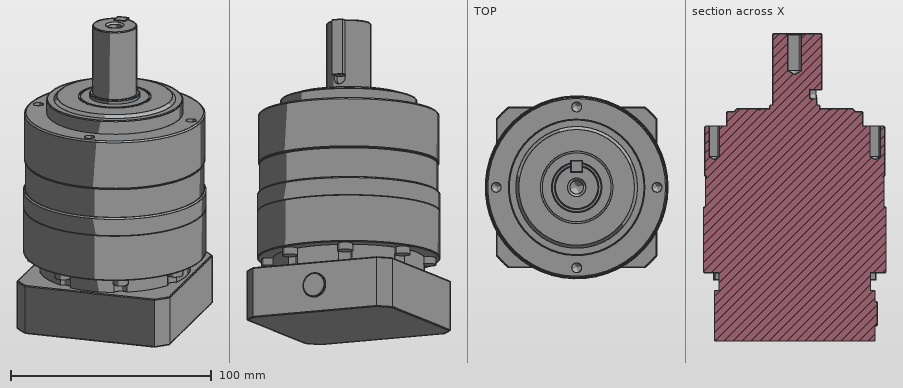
import cadquery as cq
import math

flange_top = 25.2
housing_bottom = 34.0
housing_joint = 57.5
housing_top = 67.0
ring_gear_top = 82.0
output_top = 107.1
pilot_top = 114.1
cover_top = 115.7
collar_top = 117.5
shaft_top = 153

neck_radius = 37.8
housing_radius = 45.52
ring_gear_radius = 44.5
output_radius = 45.0
pilot_radius = 34.0
cover_base_radius = 30.3
cover_rim_radius = 28.8
collar_radius = 12.5
shaft_radius = 11.0

edge_chamfer = 0.5
wide_chamfer = 0.8
joint_chamfer = 0.2

flange_side = 80.0
flange_corner_radius = 52.5
plug_radius = 6.1
plug_height = 1.0
plug_chamfer = 0.5
plug_z = 13.6

screw_count = 8
screw_circle_radius = 39.6
screw_head_radius = 3.8
screw_head_bottom = 30.5

drill_tip_angle = 118

mount_hole_count = 4
mount_hole_circle_radius = flange_side / 2
mount_hole_radius = 2.5
mount_hole_depth = 15.3

seal_outer_radius = 18.0
seal_groove_width = 0.9
seal_groove_depth = 0.5

centre_hole_radius = 3.4
centre_hole_depth = 18.4
countersink_radius = 4.6
countersink_depth = 0.8

key_width = 6.0
key_outer = 13.5
key_length = 28.0
key_end_chamfer = 0.3
keyway_straight_length = 29.4


def disc(radius, bottom, top):
    """Plain cylinder on the Z axis between two heights."""
    return cq.Workplane("XY").workplane(offset=bottom).circle(radius).extrude(top - bottom)


def drilled_hole(radius, top, depth):
    """Cutter for a hole on the Z axis with a conical drill point."""
    tip = radius / math.tan(math.radians(drill_tip_angle / 2))
    return (
        cq.Workplane("XZ")
        .moveTo(0, top)
        .lineTo(radius, top)
        .lineTo(radius, top - depth)
        .lineTo(0, top - depth - tip)
        .close()
        .revolve(360, (0, 0, 0), (0, 1, 0))
    )


def around_axis(shape, radius, angle):
    """Move a shape off the Z axis and turn it to its place on a circle."""
    return shape.translate((radius, 0, 0)).rotate((0, 0, 0), (0, 0, 1), angle)


def make_flange():
    block = cq.Workplane("XY").rect(flange_side, flange_side).extrude(flange_top)
    block = block.intersect(disc(flange_corner_radius, 0, flange_top))
    block = block.faces("<Z or >Z").chamfer(edge_chamfer)
    plug = (
        cq.Workplane("XZ", origin=(0, flange_side / 2, plug_z))
        .circle(plug_radius)
        .extrude(-plug_height)
        .faces(">Y")
        .chamfer(plug_chamfer)
    )
    return block.union(plug)


def make_neck():
    """Neck with a groove below each of the screw heads around it."""
    neck = disc(neck_radius, flange_top, housing_bottom)
    groove = disc(screw_head_radius, flange_top, screw_head_bottom)
    head = disc(screw_head_radius, screw_head_bottom, housing_bottom)
    for index in range(screw_count):
        angle = (index + 0.5) * 360 / screw_count
        neck = neck.cut(around_axis(groove, screw_circle_radius, angle))
        neck = neck.union(around_axis(head, screw_circle_radius, angle))
    return neck


def make_cover():
    """Tapered disc with a shallow groove around the shaft seal."""
    cover = (
        cq.Workplane("XZ")
        .moveTo(0, pilot_top)
        .lineTo(cover_base_radius, pilot_top)
        .lineTo(cover_rim_radius, cover_top)
        .lineTo(0, cover_top)
        .close()
        .revolve(360, (0, 0, 0), (0, 1, 0))
    )
    groove_bottom = cover_top - seal_groove_depth
    seal_inner_radius = seal_outer_radius - seal_groove_width
    groove = disc(seal_outer_radius, groove_bottom, cover_top)
    groove = groove.cut(disc(seal_inner_radius, groove_bottom, cover_top))
    return cover.cut(groove)


def make_housing():
    """Stack of turned sections from the input housing up to the pilot."""
    lower = disc(housing_radius, housing_bottom, housing_joint)
    lower = lower.faces("<Z").chamfer(edge_chamfer).faces(">Z").chamfer(joint_chamfer)
    upper = disc(housing_radius, housing_joint, housing_top)
    upper = upper.faces("<Z").chamfer(joint_chamfer).faces(">Z").chamfer(wide_chamfer)
    ring_gear = disc(ring_gear_radius, housing_top, ring_gear_top)
    ring_gear = ring_gear.faces(">Z").chamfer(edge_chamfer)
    output = disc(output_radius, ring_gear_top, output_top)
    output = output.faces("<Z").chamfer(edge_chamfer).faces(">Z").chamfer(wide_chamfer)
    for index in range(mount_hole_count):
        angle = index * 360 / mount_hole_count
        hole = drilled_hole(mount_hole_radius, output_top, mount_hole_depth)
        output = output.cut(around_axis(hole, mount_hole_circle_radius, angle))
    pilot = disc(pilot_radius, output_top, pilot_top).faces(">Z").chamfer(edge_chamfer)
    return lower.union(upper).union(ring_gear).union(output).union(pilot)


def make_keyway():
    """Cutter for the keyway, open at the shaft end and round at its lower end."""
    half_width = key_width / 2
    straight_end = shaft_top - keyway_straight_length
    return (
        cq.Workplane("XZ", origin=(0, key_outer - key_width, 0))
        .moveTo(-half_width, shaft_top)
        .lineTo(-half_width, straight_end)
        .threePointArc((0, straight_end - half_width), (half_width, straight_end))
        .lineTo(half_width, shaft_top)
        .close()
        .extrude(-key_width)
    )


def make_key():
    key_centre = (0, key_outer - key_width / 2, shaft_top - key_length)
    key = cq.Workplane("XY", origin=key_centre).rect(key_width, key_width).extrude(key_length)
    return key.faces("<Z or >Z").chamfer(key_end_chamfer)


def make_shaft():
    """Collar and shaft with the key fitted and the shaft end drilled."""
    collar = disc(collar_radius, cover_top, collar_top).faces(">Z").chamfer(edge_chamfer)
    shaft = disc(shaft_radius, collar_top, shaft_top).faces(">Z").chamfer(edge_chamfer)
    shaft = shaft.cut(make_keyway()).union(make_key())
    shaft = shaft.cut(drilled_hole(centre_hole_radius, shaft_top, centre_hole_depth))
    mouth = shaft.faces(">Z").edges(cq.selectors.RadiusNthSelector(0))
    shaft = mouth.chamfer(countersink_radius - centre_hole_radius, countersink_depth)
    return collar.union(shaft)


gearbox = make_flange().union(make_neck()).union(make_housing())
result = gearbox.union(make_cover()).union(make_shaft())